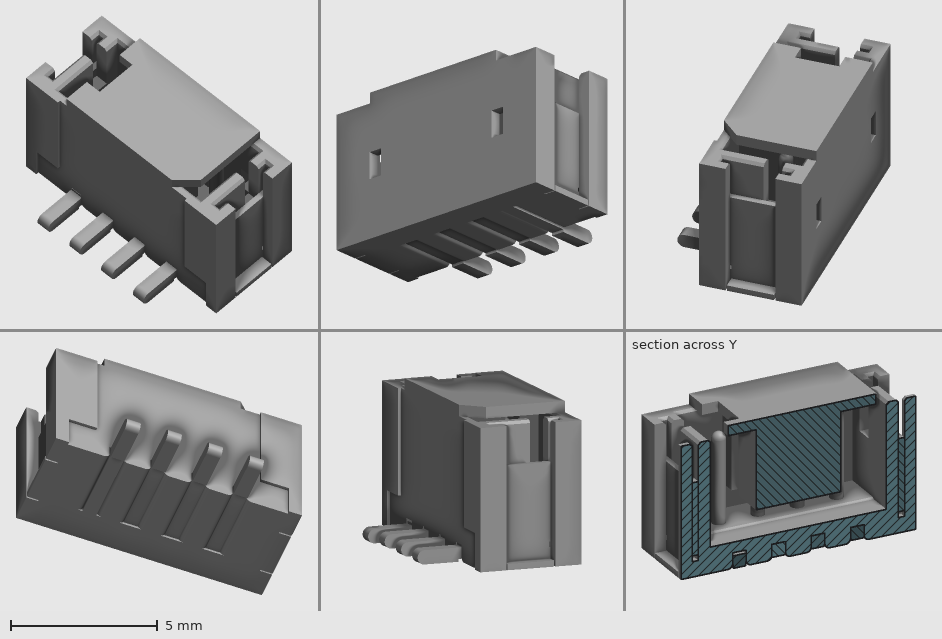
import cadquery as cq

HOUSING_LENGTH = 9.0
HOUSING_DEPTH = 3.7
HOUSING_HEIGHT = 5.0
BACK_Y = HOUSING_DEPTH / 2
LIP = 0.1

RELIEF_DEPTH = 0.11
RELIEF_UPPER_LENGTH = 5.99
RELIEF_LOWER_LENGTH = 8.05
RELIEF_STEP_Z = 1.28
FRONT_Y = -HOUSING_DEPTH / 2 + RELIEF_DEPTH

CAVITY_LENGTH = 6.71
CAVITY_DEPTH = 2.87
CAVITY_FLOOR_Z = 1.0
FLOOR_STEP_HEIGHT = 0.05
FLOOR_STEP_TOP_Y = -0.07
FLOOR_STEP_RUN = 0.09

WINDOW_INNER_X = 2.5
WINDOW_LENGTH = 0.5
WINDOW_TOP_Z = 3.2
WINDOW_HEIGHT = 1.0

TAB_X = 3.94
TAB_THICKNESS = 0.22
TAB_WIDTH = 2.48
TAB_TOP_Z = 3.55
TAB_SHOULDER_Z = 0.79
TAB_FOOT_WIDTH = 1.7
SLOT_SHOULDER_Z = 0.59
END_OPENING_WIDTH = 1.8

NOTCH_WIDTH = 0.67
NOTCH_Y = 0.58
NOTCH_FLOOR_Z = 3.11

PIN_COUNT = 4
PIN_PITCH = 1.5
PIN_SIZE = 0.5
PIN_FOOT_HEIGHT = 0.495
PIN_RADIUS = PIN_SIZE / 2
PIN_Y = 0.49
PIN_TOP_Z = 4.55
PIN_SHOULDER_INSET = 0.04
FOOT_LENGTH = 1.5
FIRST_PIN_DROP = 0.1
PIN_BAR_BOTTOM_Z = FIRST_PIN_DROP
PIN_BAR_TOP_Z = 0.585
PIN_REAR_Y = PIN_Y + PIN_RADIUS
TUNNEL_EDGE_RADIUS = 0.2

CAP_LEFT_X = -2.69
CAP_RIGHT_X = 3.0
CAP_THICKNESS = 0.4
CAP_CORNER_CUT = 0.7
CAP_NOTCH_DEPTH = 0.6
CAP_NOTCH_WIDTH = 1.6
CAP_LEG_LENGTH = 3.24
CAP_LEG_HEIGHT = 3.0


def box(x_range, y_range, z_range):
    """Box between two limits along each axis."""
    size = [high - low for low, high in (x_range, y_range, z_range)]
    corner = (x_range[0], y_range[0], z_range[0])
    return cq.Workplane("XY").box(*size, centered=False).translate(corner)


def centred_box(x, y, length, depth, bottom, top):
    """Box centred on a point in plan, between two heights."""
    return box((x - length / 2, x + length / 2), (y - depth / 2, y + depth / 2), (bottom, top))


def lead_in(x, length, depth):
    """Bevelled mouth of an opening in the housing top."""
    return (
        cq.Workplane("XY", origin=(x, 0, HOUSING_HEIGHT - LIP))
        .rect(length, depth)
        .workplane(offset=LIP)
        .rect(length + 2 * LIP, depth + 2 * LIP)
        .loft(ruled=True)
    )


def make_relief():
    """T-shaped slab taken off the front face."""
    centre_y = FRONT_Y - RELIEF_DEPTH / 2
    upper = centred_box(0, centre_y, RELIEF_UPPER_LENGTH, RELIEF_DEPTH, 0, HOUSING_HEIGHT)
    lower = centred_box(0, centre_y, RELIEF_LOWER_LENGTH, RELIEF_DEPTH, 0, RELIEF_STEP_Z)
    return upper.union(lower)


def make_cavity():
    """Cavity with a stepped floor and a bevelled mouth."""
    wall_y = CAVITY_DEPTH / 2
    back_floor_z = CAVITY_FLOOR_Z + FLOOR_STEP_HEIGHT
    cavity = (
        cq.Workplane("YZ")
        .moveTo(-wall_y, CAVITY_FLOOR_Z)
        .lineTo(FLOOR_STEP_TOP_Y - FLOOR_STEP_RUN, CAVITY_FLOOR_Z)
        .lineTo(FLOOR_STEP_TOP_Y, back_floor_z)
        .lineTo(wall_y, back_floor_z)
        .lineTo(wall_y, HOUSING_HEIGHT)
        .lineTo(-wall_y, HOUSING_HEIGHT)
        .close()
        .extrude(CAVITY_LENGTH / 2, both=True)
    )
    return cavity.union(lead_in(0, CAVITY_LENGTH, CAVITY_DEPTH))


def make_left_end_cuts():
    """Tab slot, outer opening and inner notch of the left end wall, and the back window beside it."""
    slot = centred_box(-TAB_X, 0, TAB_THICKNESS, TAB_WIDTH, SLOT_SHOULDER_Z, HOUSING_HEIGHT)
    slot = slot.union(lead_in(-TAB_X, TAB_THICKNESS, TAB_WIDTH))
    slot_outer_x = -TAB_X - TAB_THICKNESS / 2
    slot_inner_x = -TAB_X + TAB_THICKNESS / 2
    neck_passage = centred_box(-TAB_X, 0, TAB_THICKNESS, TAB_FOOT_WIDTH, 0, HOUSING_HEIGHT)
    half_opening = END_OPENING_WIDTH / 2
    opening = box(
        (-HOUSING_LENGTH / 2, slot_outer_x), (-half_opening, half_opening), (0, HOUSING_HEIGHT)
    )
    notch = box(
        (slot_inner_x, -CAVITY_LENGTH / 2),
        (NOTCH_Y - NOTCH_WIDTH / 2, NOTCH_Y + NOTCH_WIDTH / 2),
        (NOTCH_FLOOR_Z, HOUSING_HEIGHT),
    )
    window = box(
        (-WINDOW_INNER_X - WINDOW_LENGTH, -WINDOW_INNER_X),
        (0, BACK_Y),
        (WINDOW_TOP_Z - WINDOW_HEIGHT, WINDOW_TOP_Z),
    )
    return slot.union(neck_passage).union(opening).union(notch).union(window)


def make_pin_passage(x):
    """Tunnel with rounded lower edges, open below, and the bore for the upright."""
    front_y = -HOUSING_DEPTH / 2
    passage = box((x - PIN_RADIUS, x + PIN_RADIUS), (front_y, PIN_REAR_Y), (0, PIN_BAR_TOP_Z))
    for side in (-1, 1):
        edge_x = x + side * PIN_RADIUS
        outer_x = edge_x + side * TUNNEL_EDGE_RADIUS
        flare = (
            cq.Workplane("XZ", origin=(0, PIN_REAR_Y, 0))
            .moveTo(edge_x, 0)
            .lineTo(outer_x, 0)
            .radiusArc((edge_x, TUNNEL_EDGE_RADIUS), side * TUNNEL_EDGE_RADIUS)
            .close()
            .extrude(PIN_REAR_Y - front_y)
        )
        passage = passage.union(flare)
    bore = cq.Workplane("XY").center(x, PIN_Y).circle(PIN_RADIUS).extrude(HOUSING_HEIGHT)
    return passage.union(bore)


def make_housing(pin_places):
    """Rectangular block with the relief, cavity, end-wall and pin openings cut out."""
    housing = centred_box(0, 0, HOUSING_LENGTH, HOUSING_DEPTH, 0, HOUSING_HEIGHT)
    left_end_cuts = make_left_end_cuts()
    housing = housing.cut(make_relief()).cut(make_cavity())
    housing = housing.cut(left_end_cuts).cut(left_end_cuts.mirror("YZ"))
    for x in pin_places:
        housing = housing.cut(make_pin_passage(x))
    return housing


def make_pin(x, drop):
    """Round-tipped upright on a rectangular bar that jogs down to a round-ended solder foot."""
    foot_start_y = -HOUSING_DEPTH / 2
    foot_tip_y = foot_start_y - FOOT_LENGTH
    tip_radius = PIN_FOOT_HEIGHT / 2
    shoulder_y = FRONT_Y + PIN_SHOULDER_INSET
    bar_and_foot = (
        cq.Workplane("YZ")
        .moveTo(PIN_REAR_Y, PIN_BAR_BOTTOM_Z)
        .lineTo(foot_start_y, PIN_BAR_BOTTOM_Z)
        .lineTo(foot_start_y, 0)
        .lineTo(foot_tip_y + tip_radius, 0)
        .threePointArc((foot_tip_y, tip_radius), (foot_tip_y + tip_radius, PIN_FOOT_HEIGHT))
        .lineTo(shoulder_y, PIN_FOOT_HEIGHT)
        .lineTo(shoulder_y, PIN_BAR_TOP_Z)
        .lineTo(PIN_REAR_Y, PIN_BAR_TOP_Z)
        .close()
        .extrude(PIN_RADIUS, both=True)
    )
    dome_base_z = PIN_TOP_Z - PIN_RADIUS
    upright = (
        cq.Workplane("XY", origin=(0, PIN_Y, PIN_BAR_BOTTOM_Z))
        .circle(PIN_RADIUS)
        .extrude(dome_base_z - PIN_BAR_BOTTOM_Z)
    )
    dome = cq.Workplane("XY").sphere(PIN_RADIUS).translate((0, PIN_Y, dome_base_z))
    return bar_and_foot.union(upright).union(dome).translate((x, 0, -drop))


def make_left_tab():
    """Upright plate narrowing to a neck, with a foot turned outwards at the bottom."""
    plate = centred_box(-TAB_X, 0, TAB_THICKNESS, TAB_WIDTH, TAB_SHOULDER_Z, TAB_TOP_Z)
    neck = centred_box(-TAB_X, 0, TAB_THICKNESS, TAB_FOOT_WIDTH, 0, TAB_SHOULDER_Z)
    foot = box(
        (-HOUSING_LENGTH / 2, -TAB_X),
        (-TAB_FOOT_WIDTH / 2, TAB_FOOT_WIDTH / 2),
        (0, TAB_THICKNESS),
    )
    return plate.union(neck).union(foot)


def make_cap():
    """Notched plate on the housing, with two legs that straddle the row of pins."""
    notch_x = CAP_LEFT_X + CAP_NOTCH_DEPTH
    notch_y = (BACK_Y + FRONT_Y) / 2
    notch_back_y = notch_y + CAP_NOTCH_WIDTH / 2
    notch_front_y = notch_y - CAP_NOTCH_WIDTH / 2
    plate = (
        cq.Workplane("XY", origin=(0, 0, HOUSING_HEIGHT))
        .moveTo(CAP_LEFT_X, BACK_Y)
        .lineTo(CAP_LEFT_X, notch_back_y)
        .lineTo(notch_x, notch_back_y)
        .lineTo(notch_x, notch_front_y)
        .lineTo(CAP_LEFT_X, notch_front_y)
        .lineTo(CAP_LEFT_X, FRONT_Y)
        .lineTo(CAP_RIGHT_X - CAP_CORNER_CUT, FRONT_Y)
        .lineTo(CAP_RIGHT_X, FRONT_Y + CAP_CORNER_CUT)
        .lineTo(CAP_RIGHT_X, BACK_Y)
        .close()
        .extrude(CAP_THICKNESS)
    )
    leg_x = (-CAP_LEG_LENGTH / 2, CAP_LEG_LENGTH / 2)
    leg_z = (HOUSING_HEIGHT - CAP_LEG_HEIGHT, HOUSING_HEIGHT)
    back_leg = box(leg_x, (PIN_Y + PIN_RADIUS, CAVITY_DEPTH / 2), leg_z)
    front_leg = box(leg_x, (-CAVITY_DEPTH / 2, PIN_Y - PIN_RADIUS), leg_z)
    return plate.union(back_leg).union(front_leg)


pin_places = [(i - (PIN_COUNT - 1) / 2) * PIN_PITCH for i in range(PIN_COUNT)]

housing = make_housing(pin_places)
cap = make_cap()

pins = []
for index, x in enumerate(pin_places):
    drop = FIRST_PIN_DROP if index == 0 else 0
    pins.append(make_pin(x, drop).val())

left_tab = make_left_tab()
right_tab = left_tab.mirror("YZ")

result = cq.Compound.makeCompound([housing.val(), cap.val(), *pins, left_tab.val(), right_tab.val()])